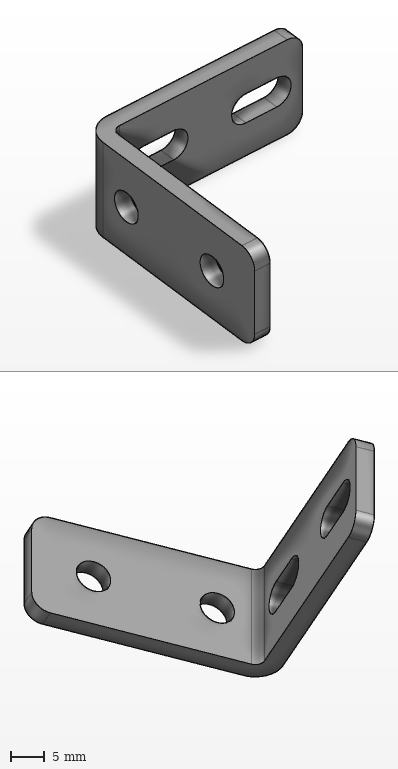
import cadquery as cq

leg_length = 40.0
height = 18.0
thickness = 3.0
inner_bend_radius = thickness / 2
outer_bend_radius = inner_bend_radius + thickness
corner_radius = 3.0

hole_diameter = 5.5
slot_width = hole_diameter
slot_travel = 6.0
slot_length = slot_travel + slot_width
opening_pitch = 20.0
first_hole_distance = 10.0
first_slot_distance = 12.0
mid_height = height / 2


def bent_strip():
    """L-shaped strip with its outside faces on X = 0 and Y = 0."""
    strip = (
        cq.Workplane("XY")
        .polyline([
            (0, 0),
            (leg_length, 0),
            (leg_length, thickness),
            (thickness, thickness),
            (thickness, leg_length),
            (0, leg_length),
        ])
        .close()
        .extrude(height)
    )
    outer_bend_edge = cq.selectors.NearestToPointSelector((0, 0, mid_height))
    inner_bend_edge = cq.selectors.NearestToPointSelector((thickness, thickness, mid_height))
    strip = strip.edges("|Z").edges(inner_bend_edge).fillet(inner_bend_radius)
    strip = strip.edges("|Z").edges(outer_bend_edge).fillet(outer_bend_radius)
    strip = strip.faces(">X").edges("|Y").fillet(corner_radius)
    return strip.faces(">Y").edges("|X").fillet(corner_radius)


def opening_positions(first_distance):
    return [(first_distance + index * opening_pitch, mid_height) for index in range(2)]


def round_holes():
    """Cutters through the leg that runs along X."""
    return (
        cq.Workplane("XZ")
        .pushPoints(opening_positions(first_hole_distance))
        .circle(hole_diameter / 2)
        .extrude(-thickness)
    )


def slots():
    """Cutters through the leg that runs along Y."""
    return (
        cq.Workplane("YZ")
        .pushPoints(opening_positions(first_slot_distance))
        .slot2D(slot_length, slot_width)
        .extrude(thickness)
    )


result = bent_strip().cut(round_holes()).cut(slots())